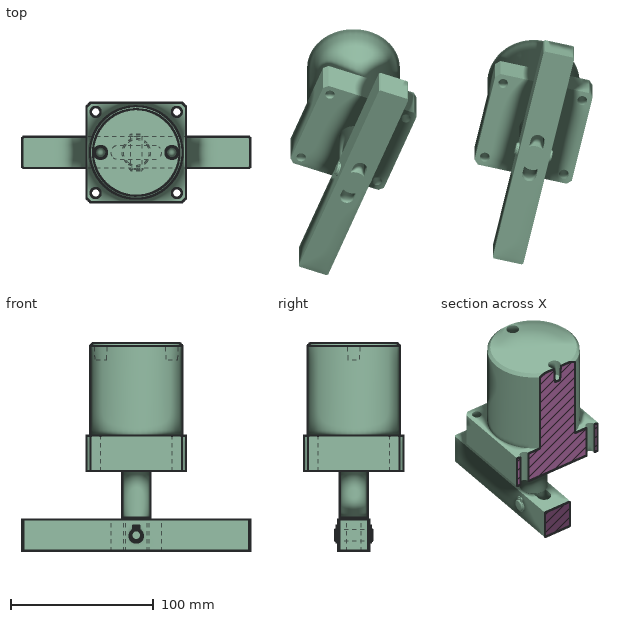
import cadquery as cq
import math

arm_length = 160.0
arm_width = 22.0
arm_height = 22.0
arm_corner_chamfer = 1.0
slot_length = 35.5
slot_width = 10.0

rod_diameter = 20.0
rod_radius = rod_diameter / 2
rod_chamfer = 1.0
shoulder_gap = 0.3
tongue_radius = rod_radius - rod_chamfer

flange_bottom = 56.0
flange_side = 70.0
flange_height = 25.0
flange_corner_chamfer = 3.0
barrel_radius = 32.5
barrel_height = 65.0
barrel_chamfer = 2.0
bolt_spacing = 57.0
bolt_hole_diameter = 6.7
port_spacing = 50.0
port_diameter = 9.0
port_bottom_diameter = 8.2
port_depth = 12.0
port_taper = math.degrees(math.atan2((port_diameter - port_bottom_diameter) / 2, port_depth))

pin_radius = 4.0
pin_length = 26.2
pin_chamfer = 0.5
pin_height = arm_height / 2

ring_thickness = 1.04
ring_outer_radius = 4.6
ring_drop = 0.5
ear_half_width = 2.4
ear_top = 6.9
ear_corner_radius = 1.3
ear_gap = 1.3
ear_hole_diameter = 1.1
ear_hole_offset = 0.8
ear_hole_height = 5.5


def cross_cylinder(radius, length):
    """A cylinder along Y, centred on the pin axis."""
    return (
        cq.Workplane("XZ", origin=(0, length / 2, pin_height))
        .circle(radius)
        .extrude(length)
    )


def make_housing():
    """Square flange with a round barrel, four bolt holes and two ports."""
    flange = (
        cq.Workplane("XY", origin=(0, 0, flange_bottom))
        .rect(flange_side, flange_side)
        .extrude(flange_height)
        .edges("|Z")
        .chamfer(flange_corner_chamfer)
    )
    bolt_holes = (
        cq.Workplane("XY", origin=(0, 0, flange_bottom))
        .rect(bolt_spacing, bolt_spacing, forConstruction=True)
        .vertices()
        .circle(bolt_hole_diameter / 2)
        .extrude(flange_height)
    )
    flange_top = flange_bottom + flange_height
    barrel = (
        cq.Workplane("XY", origin=(0, 0, flange_top))
        .circle(barrel_radius)
        .extrude(barrel_height)
        .faces(">Z")
        .chamfer(barrel_chamfer)
    )
    ports = (
        cq.Workplane("XY", origin=(0, 0, flange_top + barrel_height))
        .pushPoints([(-port_spacing / 2, 0), (port_spacing / 2, 0)])
        .circle(port_diameter / 2)
        .extrude(-port_depth, taper=port_taper)
    )
    return flange.cut(bolt_holes).union(barrel).cut(ports)


def make_rod():
    """Round rod whose lower end is a flat-sided tongue that fills the arm slot."""
    shoulder = arm_height + shoulder_gap
    shaft = (
        cq.Workplane("XY", origin=(0, 0, shoulder))
        .circle(rod_radius)
        .extrude(flange_bottom - shoulder)
        .faces("<Z")
        .chamfer(rod_chamfer)
    )
    tongue = cq.Workplane("XY").circle(tongue_radius).extrude(shoulder)
    tongue_flats = (
        cq.Workplane("XY")
        .rect(2 * rod_radius, slot_width)
        .extrude(shoulder)
    )
    pin_hole = cross_cylinder(pin_radius, slot_width)
    return shaft.union(tongue.intersect(tongue_flats)).cut(pin_hole)


def make_arm():
    """Square bar with a vertical slot for the tongue and a cross hole for the pin."""
    bar = (
        cq.Workplane("XY")
        .rect(arm_length, arm_width)
        .extrude(arm_height)
        .edges("|Z")
        .chamfer(arm_corner_chamfer)
    )
    slot = cq.Workplane("XY").slot2D(slot_length, slot_width).extrude(arm_height)
    return bar.cut(slot).cut(cross_cylinder(pin_radius, arm_width))


def make_pin():
    """Cross pin with chamfered ends."""
    return cross_cylinder(pin_radius, pin_length).faces("<Y or >Y").chamfer(pin_chamfer)


def make_ring(side):
    """Open retaining ring with two ears, against the arm on the given side of Y."""
    inner_face = side * arm_width / 2
    depth = -side * ring_thickness
    plane = cq.Workplane("XZ", origin=(0, inner_face, pin_height))

    band = plane.center(0, -ring_drop).circle(ring_outer_radius).extrude(depth)
    ears = (
        plane.center(0, ear_top / 2)
        .rect(2 * ear_half_width, ear_top)
        .extrude(depth)
        .edges("|Y and >Z")
        .fillet(ear_corner_radius)
    )
    bore = plane.circle(pin_radius).extrude(depth)
    gap = plane.center(0, ear_top / 2).rect(ear_gap, ear_top).extrude(depth)
    ear_holes = (
        plane.pushPoints([(-ear_hole_offset, ear_hole_height), (ear_hole_offset, ear_hole_height)])
        .circle(ear_hole_diameter / 2)
        .extrude(depth)
    )
    return band.union(ears).cut(bore).cut(gap).cut(ear_holes)


housing = make_housing()
rod = make_rod()
arm = make_arm()
pin = make_pin()
rings = [make_ring(side) for side in (-1, 1)]

result = cq.Compound.makeCompound(
    [housing.val(), rod.val(), arm.val(), pin.val(), *[ring.val() for ring in rings]]
)